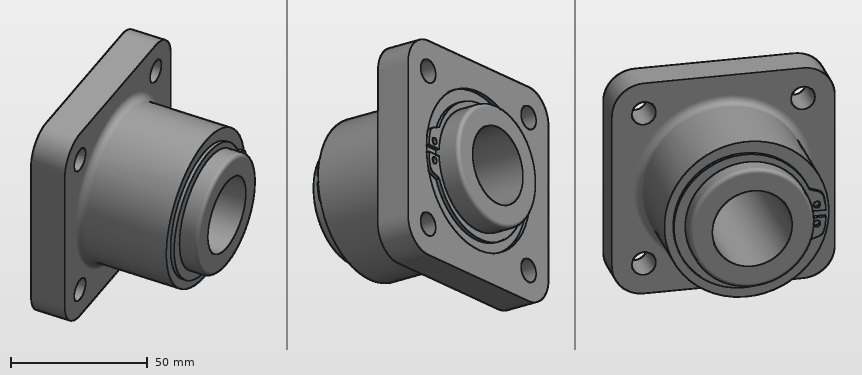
import cadquery as cq
import math

flange_side = 84.0
flange_thickness = 14.0
flange_corner_radius = 12.0
sleeve_length = 68.0
sleeve_radius = 23.5
sleeve_edge_radius = 1.5
bore_radius = 15.0
flange_front = 9.0
flange_back = flange_front + flange_thickness

barrel_radius = 31.0
barrel_end = 59.2
root_fillet = 3.0

bolt_hole_diameter = 9.0
bolt_spacing = flange_side - 2 * flange_corner_radius

ring_thickness = 1.5
ring_radius = 26.55
ring_offset = -1.2
lug_radius = 29.6
lug_corner_radius = 3.0
lug_root_half_width = 10.1
lug_flank_top = 8.3
gap_width = 2.7
eyelet_y = 26.1
eyelet_z = 3.8
eyelet_diameter = 2.5

recess_radius = barrel_radius
recess_depth = ring_thickness


def cylinder(start, length, radius):
    """Solid cylinder along X."""
    return cq.Workplane("YZ").workplane(offset=start).circle(radius).extrude(length)


def retaining_ring(start):
    """Eccentric snap ring with two eyelet lugs and a gap on the +Y side."""
    plane = cq.Workplane("YZ", origin=(start, 0, 0))
    rim = plane.center(ring_offset, 0).circle(ring_radius).extrude(ring_thickness)

    root_y = ring_offset + math.sqrt(ring_radius**2 - lug_root_half_width**2)
    tip_y = math.sqrt(lug_radius**2 - lug_flank_top**2)
    lugs = (
        plane.moveTo(0, -lug_root_half_width)
        .lineTo(root_y, -lug_root_half_width)
        .lineTo(tip_y, -lug_flank_top)
        .threePointArc((lug_radius, 0), (tip_y, lug_flank_top))
        .lineTo(root_y, lug_root_half_width)
        .lineTo(0, lug_root_half_width)
        .close()
        .extrude(ring_thickness)
        .edges("|X")
        .edges(">Y")
        .fillet(lug_corner_radius)
    )
    gap = plane.center(lug_radius, 0).rect(2 * lug_radius, gap_width).extrude(ring_thickness)
    eyelets = (
        plane.pushPoints([(eyelet_y, -eyelet_z), (eyelet_y, eyelet_z)])
        .circle(eyelet_diameter / 2)
        .extrude(ring_thickness)
    )
    return rim.union(lugs).cut(gap).cut(eyelets)


flange = (
    cq.Workplane("YZ")
    .workplane(offset=flange_front)
    .rect(flange_side, flange_side)
    .extrude(flange_thickness)
    .edges("|X")
    .fillet(flange_corner_radius)
)
bolt_holes = (
    cq.Workplane("YZ")
    .workplane(offset=flange_front)
    .rect(bolt_spacing, bolt_spacing, forConstruction=True)
    .vertices()
    .circle(bolt_hole_diameter / 2)
    .extrude(flange_thickness)
)

fillet_mid = root_fillet * (1 - math.sqrt(0.5))
barrel = (
    cq.Workplane("XY")
    .moveTo(flange_front, 0)
    .lineTo(flange_front, barrel_radius)
    .lineTo(flange_back, barrel_radius + root_fillet)
    .threePointArc(
        (flange_back + fillet_mid, barrel_radius + fillet_mid),
        (flange_back + root_fillet, barrel_radius),
    )
    .lineTo(barrel_end, barrel_radius)
    .lineTo(barrel_end, 0)
    .close()
    .revolve(360, (0, 0, 0), (1, 0, 0))
)

housing = flange.union(barrel).cut(bolt_holes)
housing = housing.cut(cylinder(flange_front, recess_depth, recess_radius))

sleeve = cylinder(0, sleeve_length, sleeve_radius).faces("<X or >X").edges().fillet(sleeve_edge_radius)

result = housing.union(sleeve)
for ring_start in (flange_front, barrel_end):
    result = result.union(retaining_ring(ring_start))
result = result.cut(cylinder(0, sleeve_length, bore_radius))